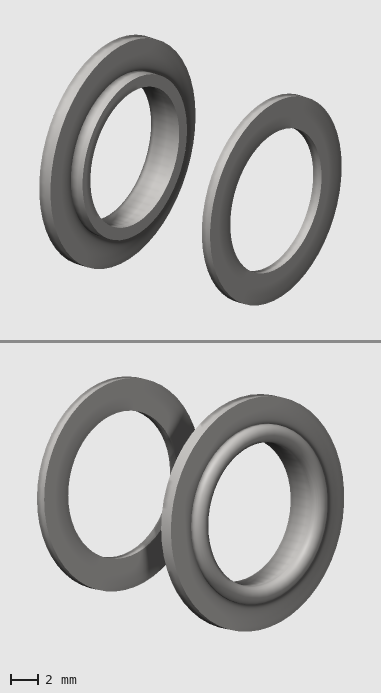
import cadquery as cq


bore_diameter = 10.8
bead_diameter = 13.54
flange_diameter = 17.65
sleeve_diameter = 12.7
bead_height = 0.82
flange_thickness = 1.05
sleeve_length = 1.1

washer_outer_diameter = 16.0
washer_inner_diameter = 11.1
washer_thickness = 0.78
overall_length = 16.14

bore_radius = bore_diameter / 2
bead_radius = bead_diameter / 2
flange_radius = flange_diameter / 2
sleeve_radius = sleeve_diameter / 2
bead_round_radius = (bead_radius - bore_radius) / 2
bead_middle_radius = (bead_radius + bore_radius) / 2
flange_front_x = bead_height
flange_back_x = flange_front_x + flange_thickness
sleeve_end_x = flange_back_x + sleeve_length
washer_front_x = overall_length - washer_thickness


def make_grommet():
    """Turn the half section, drawn as (x, radius), about the X axis."""
    section = (
        cq.Workplane("XY")
        .moveTo(bead_round_radius, bore_radius)
        .threePointArc((0, bead_middle_radius), (bead_round_radius, bead_radius))
        .lineTo(flange_front_x, bead_radius)
        .lineTo(flange_front_x, flange_radius)
        .lineTo(flange_back_x, flange_radius)
        .lineTo(flange_back_x, sleeve_radius)
        .lineTo(sleeve_end_x, sleeve_radius)
        .lineTo(sleeve_end_x, bore_radius)
        .close()
    )
    return section.revolve(360, (0, 0, 0), (1, 0, 0))


def make_washer():
    """Extrude a flat ring along +X."""
    return (
        cq.Workplane("YZ", origin=(washer_front_x, 0, 0))
        .circle(washer_outer_diameter / 2)
        .circle(washer_inner_diameter / 2)
        .extrude(washer_thickness)
    )


grommet = make_grommet()
washer = make_washer()

result = cq.Compound.makeCompound([grommet.val(), washer.val()])